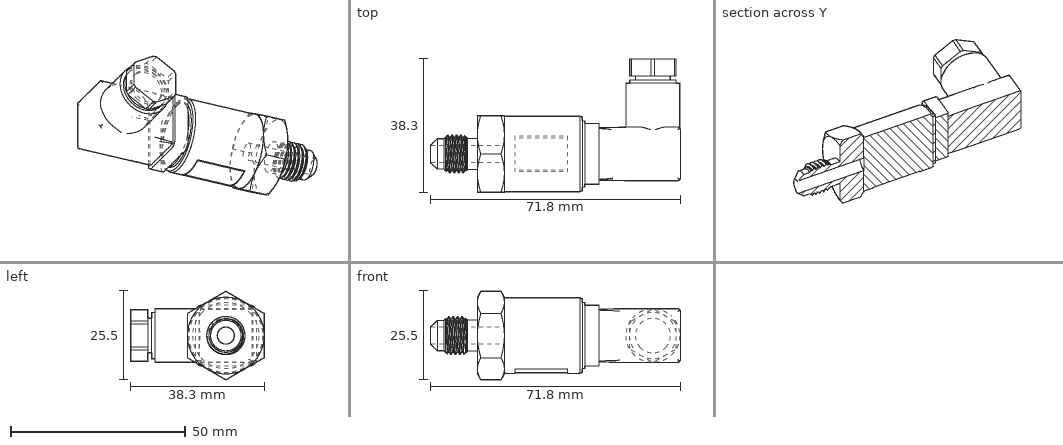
import cadquery as cq
import math


nose_dia = 8.75
tip_dia = 4.95
cone_length = 2.0
bore_dia = 4.8
thread_start = 3.95
thread_end = 10.7
thread_dia = 11.0
thread_root_dia = 9.6
thread_pitch = 1.27
ridge_start = 3.5
ridge_end = 10.9
ridge_start_angle = -54.0
crest_width = 0.15
flank_angle = 30.0
ridge_embed = 0.1
envelope_margin = 0.3
lead_in = 0.35
relief_dia = 9.0
hex_start = 13.5
hex_end = 21.25
hex_flats = 22.05
hex_bevel_angle = 30.0

sleeve_dia = 21.75
sleeve_end = 43.6
sleeve_end_dia = 21.2
sleeve_rounding_length = 0.7
label_start = 24.35
label_end = 39.35
label_depth = 0.2
label_edge_height = 9.6

disc_dia = 19.0
disc_end = 44.3
flange_side = 17.5
flange_end = 48.4
flange_corner_radius = 2.0

plug_side = 15.45
plug_end = 71.8
plug_radius = 1.0
plug_taper_depth = 0.18
side_taper_end = 57.2
top_taper_end = 53.2
outlet_x = 63.8
outlet_end = 20.3

washer_dia = 13.35
washer_end = 21.25
gland_neck_dia = 10.0
nut_start = 22.3
nut_end = 27.3
nut_flats = 13.35
nut_corner_cut = 0.6


def x_cylinder(start, end, diameter):
    return cq.Workplane("YZ").workplane(offset=start).circle(diameter / 2).extrude(end - start)


def y_cylinder(start, end, diameter):
    plane = cq.Plane(origin=(outlet_x, start, 0), xDir=(0, 0, 1), normal=(0, 1, 0))
    return cq.Workplane(plane).circle(diameter / 2).extrude(end - start)


def corner_diameter(across_flats):
    return across_flats / math.cos(math.radians(30))


def make_fitting_core():
    tip_r = tip_dia / 2
    nose_r = nose_dia / 2
    root_r = thread_root_dia / 2
    relief_r = relief_dia / 2
    return (
        cq.Workplane("XY")
        .moveTo(0, 0)
        .lineTo(0, tip_r)
        .lineTo(cone_length, nose_r)
        .lineTo(thread_start, nose_r)
        .lineTo(thread_start + lead_in, root_r)
        .lineTo(thread_end - lead_in, root_r)
        .lineTo(thread_end, relief_r)
        .lineTo(hex_start, relief_r)
        .lineTo(hex_start, 0)
        .close()
        .revolve(360, (0, 0, 0), (1, 0, 0))
    )


def make_thread_ridge():
    foot_r = thread_root_dia / 2 - ridge_embed
    crest_r = thread_dia / 2
    half_crest = crest_width / 2
    half_foot = half_crest + (crest_r - foot_r) * math.tan(math.radians(flank_angle))
    helix = cq.Wire.makeHelix(thread_pitch, ridge_end - ridge_start, foot_r)
    ridge = (
        cq.Workplane("XZ")
        .polyline([(foot_r, -half_foot), (crest_r, -half_crest), (crest_r, half_crest), (foot_r, half_foot)])
        .close()
        .sweep(cq.Workplane(helix), isFrenet=True)
    )
    ridge = ridge.rotate((0, 0, 0), (1, 1, 1), 120)
    ridge = ridge.rotate((0, 0, 0), (1, 0, 0), ridge_start_angle).translate((ridge_start, 0, 0))
    envelope_dia = thread_dia + envelope_margin
    run_out = x_cylinder(thread_start, thread_end, envelope_dia).faces("<X or >X").chamfer(
        (envelope_dia - nose_dia) / 2
    )
    return ridge.intersect(run_out)


def make_wrench_hexagon():
    length = hex_end - hex_start
    corner_r = corner_diameter(hex_flats) / 2
    face_r = hex_flats / 2
    bevel_length = (corner_r - face_r) * math.tan(math.radians(hex_bevel_angle))
    hexagon = (
        cq.Workplane("YZ")
        .workplane(offset=hex_start)
        .transformed(rotate=(0, 0, 30))
        .polygon(6, 2 * corner_r)
        .extrude(length)
    )
    bevels = x_cylinder(hex_start, hex_end, 2 * corner_r).faces("<X or >X").chamfer(
        bevel_length, corner_r - face_r
    )
    return hexagon.intersect(bevels)


def make_fitting():
    bore = x_cylinder(0, hex_end, bore_dia)
    return make_fitting_core().union(make_thread_ridge()).union(make_wrench_hexagon()).cut(bore)


def make_sleeve():
    radius = sleeve_dia / 2
    end_r = sleeve_end_dia / 2
    body = (
        cq.Workplane("XY")
        .moveTo(hex_end, 0)
        .lineTo(hex_end, radius)
        .lineTo(sleeve_end - sleeve_rounding_length, radius)
        .lineTo(sleeve_end, end_r)
        .lineTo(sleeve_end, 0)
        .close()
        .revolve(360, (0, 0, 0), (1, 0, 0))
    )
    recess_zone = cq.Workplane("XY").box(
        label_end - label_start, sleeve_dia, radius - label_edge_height, centered=(False, True, False)
    ).translate((label_start, 0, -radius))
    recess = recess_zone.cut(x_cylinder(label_start, label_end, sleeve_dia - 2 * label_depth))
    return body.cut(recess)


def make_flange():
    return (
        cq.Workplane("YZ")
        .workplane(offset=disc_end)
        .rect(flange_side, flange_side)
        .extrude(flange_end - disc_end)
        .edges("|X")
        .fillet(flange_corner_radius)
    )


def plug_profile(plane, taper_end):
    """Prism of the block outline: drawn in at the flange, with rounded corners at the far end."""
    half = plug_side / 2
    narrow = half - plug_taper_depth
    arc_start = plug_end - plug_radius
    arc_edge = half - plug_radius
    return (
        cq.Workplane(plane)
        .moveTo(flange_end, -narrow)
        .lineTo(taper_end, -half)
        .lineTo(arc_start, -half)
        .radiusArc((plug_end, -arc_edge), -plug_radius)
        .lineTo(plug_end, arc_edge)
        .radiusArc((arc_start, half), -plug_radius)
        .lineTo(taper_end, half)
        .lineTo(flange_end, narrow)
        .close()
        .extrude(half, both=True)
    )


def make_plug():
    block = (
        cq.Workplane("YZ")
        .workplane(offset=flange_end)
        .rect(plug_side, plug_side)
        .extrude(plug_end - flange_end)
        .edges("|X")
        .fillet(plug_radius)
    )
    block = block.intersect(plug_profile("XY", side_taper_end)).intersect(plug_profile("XZ", top_taper_end))
    outlet = y_cylinder(0, outlet_end, plug_side)
    return block.union(outlet)


def make_gland_nut():
    neck = y_cylinder(washer_end, nut_start, gland_neck_dia)
    plane = cq.Plane(origin=(outlet_x, nut_start, 0), xDir=(0, 0, 1), normal=(0, 1, 0))
    hexagon = (
        cq.Workplane(plane)
        .polygon(6, corner_diameter(nut_flats))
        .extrude(nut_end - nut_start)
        .edges("|Y")
        .chamfer(nut_corner_cut)
    )
    return hexagon.union(neck)


fitting = make_fitting()
sleeve = make_sleeve()
seal_disc = x_cylinder(sleeve_end, disc_end, disc_dia)
flange = make_flange()
plug = make_plug()
washer = y_cylinder(outlet_end, washer_end, washer_dia)
gland_nut = make_gland_nut()

result = cq.Compound.makeCompound(
    [
        fitting.solids().val(),
        sleeve.solids().val(),
        seal_disc.solids().val(),
        flange.solids().val(),
        plug.solids().val(),
        washer.solids().val(),
        gland_nut.solids().val(),
    ]
)